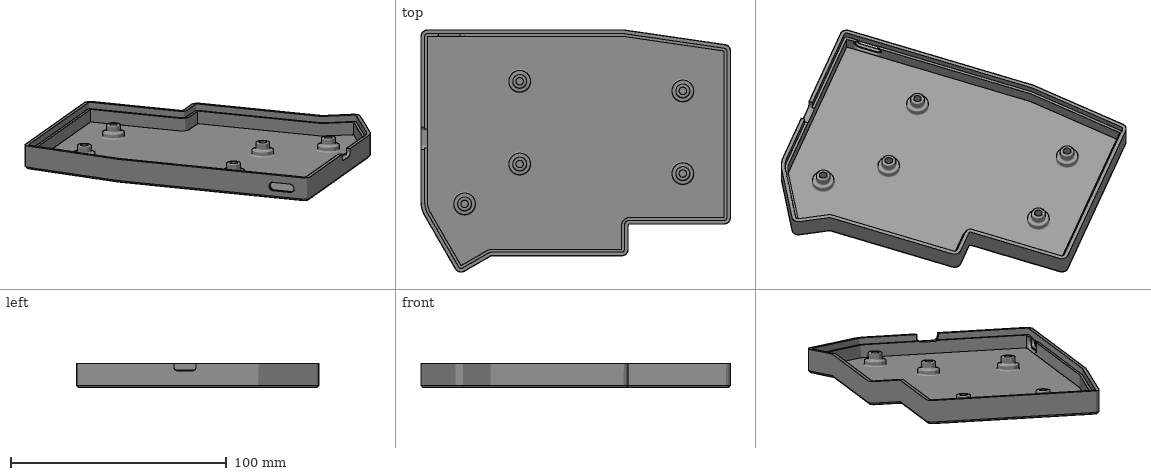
import cadquery as cq
import math

LENGTH = 143.5
WIDTH = 112.2
HEIGHT = 11.2

FLOOR = 2.2
WALL = 3.0
RIM = 1.7
LEDGE_Z = HEIGHT - 3.0
BASE_CHAMFER = 1.0

NOTCH_X = 96.0
NOTCH_Y = 22.2
FRONT_Y = 7.5
FOOT_X = 32.4
SIDE_BEND_Y = 29.1
BACK_BEND_X = 94.1
BACK_CORNER_Y = 105.0
FOOT_ANGLE = 30.0
CONCAVE_RADIUS = 0.7
SIDE_BEND_RADIUS = 12.9

LEFT_POSTS_X = 45.8
LEFT_POSTS_Y = 50.0
RIGHT_POSTS_X = 121.4
RIGHT_POSTS_Y = 45.6
POST_PITCH = 38.3
FOOT_POST = (20.2, 31.5)
POST_DIAMETER = 6.5
POST_HEIGHT = 6.0
POST_BASE_DIAMETER = 10.0
POST_BASE_HEIGHT = 2.6
POST_HOLE_DIAMETER = 3.5
POST_FILLET = 0.7
POST_ROUND = 0.5

CABLE_NOTCH_Y = 62.0
CABLE_NOTCH_WIDTH = 10.3
CABLE_NOTCH_DEPTH = 3.5
CABLE_NOTCH_RADIUS = 2.0

SLOT_X = 13.0
SLOT_Z = 5.6
SLOT_CENTERS = 8.3
SLOT_HEIGHT = 4.0
POCKET_HEIGHT = 5.5
POCKET_DEPTH = WALL - RIM
POCKET_FLARE = 0.5
FLARE_PLATE = 0.1


def vertical_edges_at(x, y):
    reach = 0.1
    return cq.selectors.BoxSelector((x - reach, y - reach, 0), (x + reach, y + reach, HEIGHT))


def cavity_wire():
    """Inner face of the wall: sharp where the outline is convex, rounded at the notch, foot and side bend."""
    slope = math.tan(math.radians(FOOT_ANGLE))
    tip_x = (SIDE_BEND_Y - FRONT_Y + FOOT_X * slope) / (slope + 1 / slope)
    tip_y = SIDE_BEND_Y - tip_x / slope
    points = [
        (0, WIDTH),
        (BACK_BEND_X, WIDTH),
        (LENGTH, BACK_CORNER_Y),
        (LENGTH, NOTCH_Y),
        (NOTCH_X, NOTCH_Y),
        (NOTCH_X, FRONT_Y),
        (FOOT_X, FRONT_Y),
        (tip_x, tip_y),
        (0, SIDE_BEND_Y),
    ]
    block = cq.Workplane("XY").polyline(points).close().extrude(HEIGHT)
    rounded = [
        (NOTCH_X, NOTCH_Y, CONCAVE_RADIUS),
        (FOOT_X, FRONT_Y, CONCAVE_RADIUS),
        (0, SIDE_BEND_Y, SIDE_BEND_RADIUS),
    ]
    for x, y, radius in rounded:
        block = block.edges(vertical_edges_at(x, y)).fillet(radius)
    outer = block.faces("<Z").wires().val()
    return outer.offset2D(-WALL, "intersection")[0]


def prism(wire, bottom, top):
    return cq.Workplane("XY").add(wire).toPending().extrude(top - bottom).translate((0, 0, bottom))


def shell():
    """Tray with a chamfered base and a ledge where the wall thins to the rim."""
    cavity = cavity_wire()
    outer = cavity.offset2D(WALL, "arc")[0]
    rim_opening = cavity.offset2D(WALL - RIM, "arc")[0]
    body = prism(outer, 0, HEIGHT).faces("<Z").edges().chamfer(BASE_CHAMFER)
    body = body.cut(prism(cavity, FLOOR, HEIGHT))
    return body.cut(prism(rim_opening, LEDGE_Z, HEIGHT))


def step(diameter, bottom, height):
    """Round step with a rounded top edge and a fillet flaring out at its foot."""
    radius = diameter / 2
    top = bottom + height
    foot_mid = POST_FILLET * (1 - math.sqrt(0.5))
    top_mid = POST_ROUND * (1 - math.sqrt(0.5))
    profile = (
        cq.Workplane("XZ")
        .moveTo(0, bottom)
        .lineTo(radius + POST_FILLET, bottom)
        .threePointArc((radius + foot_mid, bottom + foot_mid), (radius, bottom + POST_FILLET))
        .lineTo(radius, top - POST_ROUND)
        .threePointArc((radius - top_mid, top - top_mid), (radius - POST_ROUND, top))
        .lineTo(0, top)
        .close()
    )
    return profile.revolve(360, (0, 0, 0), (0, 1, 0))


def post():
    """Two stacked round steps with a blind hole down to the floor, standing at the origin."""
    base = step(POST_BASE_DIAMETER, 0, POST_BASE_HEIGHT)
    upper = step(POST_DIAMETER, POST_BASE_HEIGHT, POST_HEIGHT - POST_BASE_HEIGHT)
    hole = cq.Workplane("XY").circle(POST_HOLE_DIAMETER / 2).extrude(POST_HEIGHT)
    return base.union(upper).cut(hole)


def post_places():
    rows = [(LEFT_POSTS_X, LEFT_POSTS_Y), (RIGHT_POSTS_X, RIGHT_POSTS_Y)]
    pairs = [(x, y + offset) for x, y in rows for offset in (0, POST_PITCH)]
    return pairs + [FOOT_POST]


def cable_notch():
    height = 2 * CABLE_NOTCH_DEPTH
    return (
        cq.Workplane("XY")
        .box(2 * WALL, CABLE_NOTCH_WIDTH, height)
        .edges("|X and <Z")
        .fillet(CABLE_NOTCH_RADIUS)
        .translate((WALL, CABLE_NOTCH_Y, HEIGHT))
    )


def slot_cutter(height, start, depth):
    """Rounded slot of the given height, starting at y = start and running depth towards +Y."""
    face = cq.Workplane("XZ", origin=(SLOT_X, start, SLOT_Z))
    return face.slot2D(SLOT_CENTERS + height, height).extrude(-depth)


def back_slot():
    """Slot and pocket: a thin plate inside the wall is filleted into the pocket to give its flare."""
    inner_face = WIDTH - WALL
    reach = POCKET_HEIGHT / 2 + FLARE_PLATE
    plate_height = POCKET_HEIGHT + 2 * (POCKET_FLARE + FLARE_PLATE)
    plate = slot_cutter(plate_height, inner_face - FLARE_PLATE, FLARE_PLATE)
    pocket = slot_cutter(POCKET_HEIGHT, inner_face, POCKET_DEPTH)
    joint = cq.selectors.BoxSelector(
        (SLOT_X - SLOT_CENTERS, inner_face - FLARE_PLATE / 2, SLOT_Z - reach),
        (SLOT_X + SLOT_CENTERS, inner_face + FLARE_PLATE / 2, SLOT_Z + reach),
        boundingbox=True,
    )
    flared_pocket = plate.union(pocket).edges(joint).fillet(POCKET_FLARE)
    return flared_pocket.union(slot_cutter(SLOT_HEIGHT, inner_face, 2 * WALL))


result = shell()
for x, y in post_places():
    result = result.union(post().translate((x, y, FLOOR)))
result = result.cut(cable_notch()).cut(back_slot())